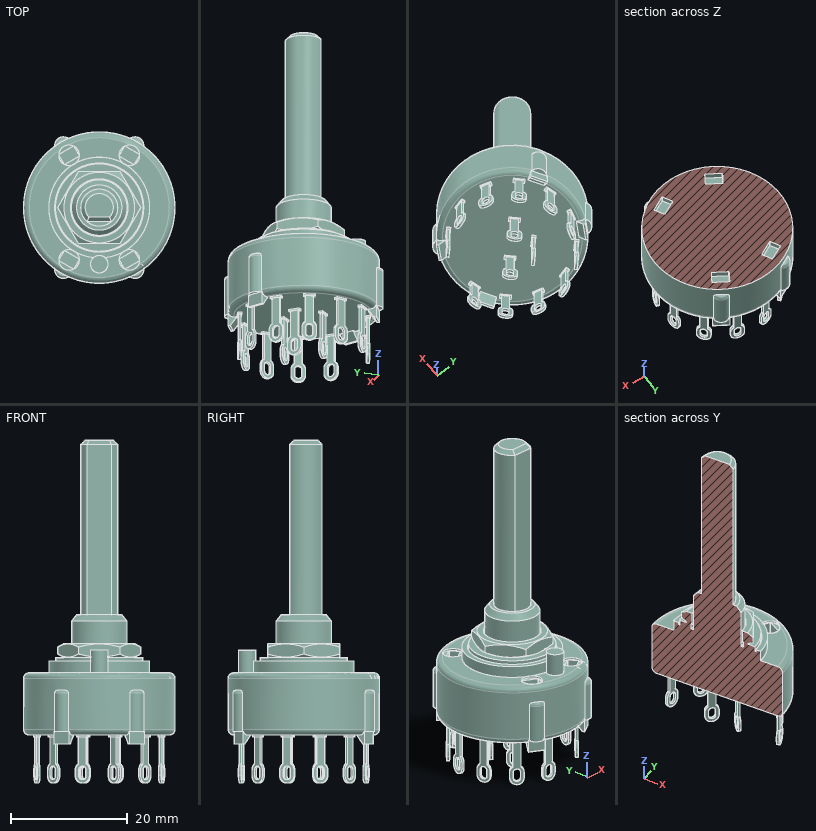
import cadquery as cq
import math


BODY_RADIUS = 13.0
BODY_HEIGHT = 10.7
BODY_FILLET = 1.0

FLANGE_DIAMETER = 17.3
FLANGE_HEIGHT = 2.0
FLANGE_TOP = BODY_HEIGHT + FLANGE_HEIGHT
SEAT_DIAMETER = 15.3
SEAT_DEPTH = 0.4

WASHER_DIAMETER = 15.0
WASHER_BORE = 10.3
WASHER_THICKNESS = 1.0
WASHER_TOP = FLANGE_TOP - SEAT_DEPTH + WASHER_THICKNESS
NUT_ACROSS_FLATS = 12.35
NUT_BORE = 9.9
NUT_HEIGHT = 2.4
NUT_CHAMFER_DIAMETER = 12.1
NUT_CHAMFER_ANGLE = 30

BUSHING_DIAMETER = 9.5
BUSHING_TOP = 20.65
BUSHING_CHAMFER_HEIGHT = 1.1
BUSHING_CHAMFER_WIDTH = 0.9
SHAFT_RADIUS = 3.2
SHAFT_FLAT_OFFSET = 2.4
SHAFT_FLAT_RECESS = 1.2
SHAFT_FLAT_BOTTOM = BUSHING_TOP - SHAFT_FLAT_RECESS
SHAFT_TOP = 50.55
SHAFT_CHAMFER = 0.75

PIN_DIAMETER = 3.0
PIN_OFFSET = 9.7
PIN_HEIGHT = 3.9

CLIP_ANGLES = (60, 120, 240, 300)
RECESS_DIAMETER = 3.5
RECESS_OFFSET = 10.35
RECESS_DEPTH = 0.35
CLIP_WIDTH = 3.0
SLOT_RADIAL_WIDTH = 2.0
SLOT_DEPTH = 2.65
POST_OFFSET = 12.3
POST_BOTTOM = 0.6
POST_TOP = 7.7
POST_FILLET = 0.5
LUG_DEPTH = 1.5
LUG_OUTER = 12.95
LUG_INNER_AT_BODY = 11.35
LUG_INNER_AT_TIP = 12.5

TERMINAL_TIP = -8.25
TERMINAL_THICKNESS = 0.45
TERMINAL_OUTER_OFFSET = 11.05
TERMINAL_INNER_OFFSET = 3.65
OUTER_TERMINAL_PITCH = 30
FIRST_OUTER_ANGLE = 15
EMPTY_OUTER_ANGLE = 285
INNER_ANGLES = (45, 135, 225)
STEM_WIDTH = 1.4
EYE_WIDTH = 2.5
EYE_LENGTH = 3.5
EYE_HOLE_WIDTH = 1.25
EYE_HOLE_LENGTH = 2.3
COLLAR_WIDTH = 2.0
COLLAR_THICKNESS = 0.7
COLLAR_HEIGHT = 0.3
ROOT_DEPTH = 0.6


def disc(diameter, bottom, top):
    """Upright cylinder on the main axis."""
    return cq.Workplane("XY").workplane(offset=bottom).circle(diameter / 2).extrude(top - bottom)


def around(shape, angle):
    """Turn a shape made on the +X side to the given angle about the main axis."""
    return shape.rotate((0, 0, 0), (0, 0, 1), angle)


def make_housing():
    """Round body with its raised flange and locating pin."""
    body = disc(2 * BODY_RADIUS, 0, BODY_HEIGHT).edges().fillet(BODY_FILLET)
    flange = disc(FLANGE_DIAMETER, BODY_HEIGHT - BODY_FILLET, FLANGE_TOP)
    seat = disc(SEAT_DIAMETER, FLANGE_TOP - SEAT_DEPTH, FLANGE_TOP)
    pin = (
        cq.Workplane("XY", origin=(0, -PIN_OFFSET, BODY_HEIGHT - BODY_FILLET))
        .circle(PIN_DIAMETER / 2)
        .extrude(PIN_HEIGHT + BODY_FILLET)
    )
    return body.union(flange).cut(seat).union(pin)


def make_washer():
    bottom = WASHER_TOP - WASHER_THICKNESS
    return disc(WASHER_DIAMETER, bottom, WASHER_TOP).cut(disc(WASHER_BORE, bottom, WASHER_TOP))


def make_nut():
    """Hexagon with corners on the X axis, its corners trimmed by a cone at each end."""
    corner_radius = NUT_ACROSS_FLATS / math.sqrt(3)
    chamfer_radius = NUT_CHAMFER_DIAMETER / 2
    chamfer_drop = (corner_radius - chamfer_radius) * math.tan(math.radians(NUT_CHAMFER_ANGLE))
    hexagon = (
        cq.Workplane("XY").workplane(offset=WASHER_TOP).polygon(6, 2 * corner_radius).extrude(NUT_HEIGHT)
    )
    nut_top = WASHER_TOP + NUT_HEIGHT
    envelope = (
        cq.Workplane("XZ")
        .moveTo(NUT_BORE / 2, WASHER_TOP)
        .lineTo(chamfer_radius, WASHER_TOP)
        .lineTo(corner_radius, WASHER_TOP + chamfer_drop)
        .lineTo(corner_radius, nut_top - chamfer_drop)
        .lineTo(chamfer_radius, nut_top)
        .lineTo(NUT_BORE / 2, nut_top)
        .close()
        .revolve(360, (0, 0, 0), (0, 1, 0))
    )
    return hexagon.intersect(envelope)


def make_bushing():
    bushing = disc(BUSHING_DIAMETER, BODY_HEIGHT, BUSHING_TOP)
    return bushing.faces(">Z").edges().chamfer(BUSHING_CHAMFER_HEIGHT, BUSHING_CHAMFER_WIDTH)


def make_shaft():
    """Round shaft above the bushing, before the flat is cut."""
    return disc(2 * SHAFT_RADIUS, BUSHING_TOP, SHAFT_TOP).faces(">Z").edges().chamfer(SHAFT_CHAMFER)


def make_shaft_flat():
    """Material removed for the flat on the -Y side; it runs down below the bushing top."""
    profile = (
        cq.Workplane("YZ")
        .moveTo(-SHAFT_RADIUS, SHAFT_FLAT_BOTTOM)
        .lineTo(-SHAFT_FLAT_OFFSET, SHAFT_FLAT_BOTTOM)
        .lineTo(-SHAFT_FLAT_OFFSET, SHAFT_TOP - SHAFT_CHAMFER)
        .lineTo(-SHAFT_FLAT_OFFSET + SHAFT_CHAMFER, SHAFT_TOP)
        .lineTo(-SHAFT_RADIUS, SHAFT_TOP)
        .close()
    )
    bore = disc(2 * SHAFT_RADIUS, SHAFT_FLAT_BOTTOM, SHAFT_TOP)
    return profile.extrude(SHAFT_RADIUS, both=True).intersect(bore)


def make_clip_opening():
    """Shallow round recess with a rectangular slot in its floor."""
    top = cq.Workplane("XY", origin=(RECESS_OFFSET, 0, BODY_HEIGHT))
    recess = top.circle(RECESS_DIAMETER / 2).extrude(-RECESS_DEPTH)
    slot = top.rect(SLOT_RADIAL_WIDTH, CLIP_WIDTH).extrude(-SLOT_DEPTH)
    return recess.union(slot.intersect(top.circle(RECESS_DIAMETER / 2).extrude(-SLOT_DEPTH)))


def make_clip():
    """Half-round post on the housing wall and the lug that hangs below it."""
    post = (
        cq.Workplane("XY", origin=(POST_OFFSET, 0, POST_BOTTOM))
        .circle(CLIP_WIDTH / 2)
        .extrude(POST_TOP - POST_BOTTOM)
        .faces(">Z")
        .edges()
        .fillet(POST_FILLET)
    )
    lug = (
        cq.Workplane("XZ")
        .moveTo(LUG_OUTER, -LUG_DEPTH)
        .lineTo(LUG_OUTER, POST_BOTTOM)
        .lineTo(LUG_INNER_AT_BODY, POST_BOTTOM)
        .lineTo(LUG_INNER_AT_BODY, 0)
        .lineTo(LUG_INNER_AT_TIP, -LUG_DEPTH)
        .close()
        .extrude(CLIP_WIDTH / 2, both=True)
    )
    return post.union(lug)


def make_terminal(offset):
    """Flat terminal facing outward: collar, stem and a long eye with a hole."""
    eye_center = TERMINAL_TIP + EYE_LENGTH / 2
    face = cq.Workplane("YZ", origin=(offset, 0, 0))
    half_thickness = TERMINAL_THICKNESS / 2
    stem_length = ROOT_DEPTH - eye_center
    stem = (
        face.center(0, ROOT_DEPTH - stem_length / 2)
        .rect(STEM_WIDTH, stem_length)
        .extrude(half_thickness, both=True)
    )
    eye = face.center(0, eye_center).slot2D(EYE_LENGTH, EYE_WIDTH, 90).extrude(half_thickness, both=True)
    hole = (
        face.center(0, eye_center)
        .slot2D(EYE_HOLE_LENGTH, EYE_HOLE_WIDTH, 90)
        .extrude(half_thickness, both=True)
    )
    collar = (
        cq.Workplane("XY", origin=(offset, 0, -COLLAR_HEIGHT))
        .rect(COLLAR_THICKNESS, COLLAR_WIDTH)
        .extrude(COLLAR_HEIGHT + ROOT_DEPTH)
    )
    return stem.union(eye).cut(hole).union(collar)


result = make_housing()
for fitting in (make_washer(), make_bushing(), make_nut(), make_shaft()):
    result = result.union(fitting)
result = result.cut(make_shaft_flat())

for clip_angle in CLIP_ANGLES:
    result = result.union(around(make_clip(), clip_angle))
    result = result.cut(around(make_clip_opening(), clip_angle))

for outer_angle in range(FIRST_OUTER_ANGLE, 360, OUTER_TERMINAL_PITCH):
    if outer_angle != EMPTY_OUTER_ANGLE:
        result = result.union(around(make_terminal(TERMINAL_OUTER_OFFSET), outer_angle))

for inner_angle in INNER_ANGLES:
    result = result.union(around(make_terminal(TERMINAL_INNER_OFFSET), inner_angle))